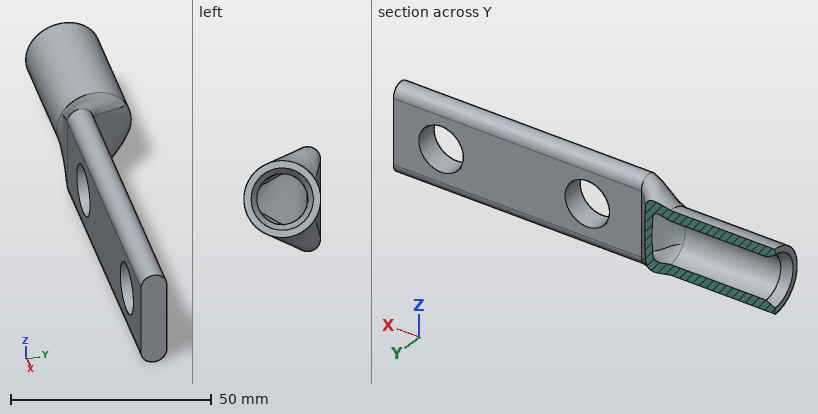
import cadquery as cq
import math

total_length = 118.3
barrel_diameter = 19.2
barrel_length = 31.8
transition_length = 11.0
palm_width = 26.1
palm_thickness = 6.6

bore_diameter = 12.7
mouth_diameter = 15.5
mouth_depth = 2.7

hole_diameter = 13.5
first_hole_x = 59.2
hole_spacing = 44.5

blend_half_angle = 31.0
seam_thickness = 0.2
blend_stations = 4
blend_softness = 0.3

barrel_radius = barrel_diameter / 2
palm_start = barrel_length + transition_length
palm_y = (palm_thickness - barrel_diameter) / 2
edge_radius = palm_thickness / 2
flat_half_width = palm_width / 2 - edge_radius


def ring_point(radius, degrees):
    """Point (y, z) of a circle, with the angle measured from +Y towards +Z."""
    angle = math.radians(degrees)
    return radius * math.cos(angle), radius * math.sin(angle)


def ring_points(radius):
    """Ends and middles of the four arcs: +Y face, +Z side, -Y face, -Z side."""
    upper = blend_half_angle
    lower = 180 - blend_half_angle
    angles = [-upper, 0, upper, 90, lower, 180, -lower, -90]
    return [ring_point(radius, angle) for angle in angles]


def slot_points(thickness):
    """Points of a flattened, round-edged outline that match the ring points."""
    top = palm_y + thickness / 2
    bottom = palm_y - thickness / 2
    tip = flat_half_width + thickness / 2
    return [
        (top, -flat_half_width), (top, 0), (top, flat_half_width), (palm_y, tip),
        (bottom, flat_half_width), (bottom, 0), (bottom, -flat_half_width), (palm_y, -tip),
    ]


def section_wire(x, points, flat_faces):
    """Close four edges through the points; the two Y faces may be straight."""
    outline = cq.Workplane("YZ", origin=(x, 0, 0)).moveTo(*points[0])
    for middle in range(1, len(points), 2):
        end = points[(middle + 1) % len(points)]
        is_side = middle in (3, 7)
        if flat_faces and not is_side:
            outline = outline.lineTo(*end)
        else:
            outline = outline.threePointArc(points[middle], end)
    return outline.wire().val()


def flattened_tube(radius, thickness):
    """Blend a circle into a flat slot along a soft S-curve over the transition."""
    ring = ring_points(radius)
    slot = slot_points(thickness)
    wires = []
    for station in range(blend_stations + 1):
        travel = station / blend_stations
        mix = travel - blend_softness * math.sin(2 * math.pi * travel) / (2 * math.pi)
        points = [
            (ring_y + mix * (slot_y - ring_y), ring_z + mix * (slot_z - ring_z))
            for (ring_y, ring_z), (slot_y, slot_z) in zip(ring, slot)
        ]
        x = barrel_length + travel * transition_length
        wires.append(section_wire(x, points, station == blend_stations))
    return cq.Workplane(cq.Solid.makeLoft(wires))


def make_barrel():
    return cq.Workplane("YZ").circle(barrel_radius).extrude(barrel_length)


def make_palm():
    return (
        cq.Workplane("YZ", origin=(palm_start, palm_y, 0))
        .slot2D(palm_width, palm_thickness, 90)
        .extrude(total_length - palm_start)
    )


def make_bore():
    """Straight bore as deep as the barrel, opening through a conical mouth."""
    return (
        cq.Workplane("XY")
        .lineTo(0, mouth_diameter / 2)
        .lineTo(mouth_depth, bore_diameter / 2)
        .lineTo(barrel_length, bore_diameter / 2)
        .lineTo(barrel_length, 0)
        .close()
        .revolve(360, (0, 0, 0), (1, 0, 0))
    )


def make_bolt_holes():
    centers = [(first_hole_x + i * hole_spacing, 0) for i in range(2)]
    return (
        cq.Workplane("XZ")
        .pushPoints(centers)
        .circle(hole_diameter / 2)
        .extrude(barrel_radius, both=True)
    )


transition = flattened_tube(barrel_radius, palm_thickness)
cavity = flattened_tube(bore_diameter / 2, seam_thickness)
body = make_barrel().union(transition).union(make_palm())
result = body.cut(make_bore()).cut(cavity).cut(make_bolt_holes())